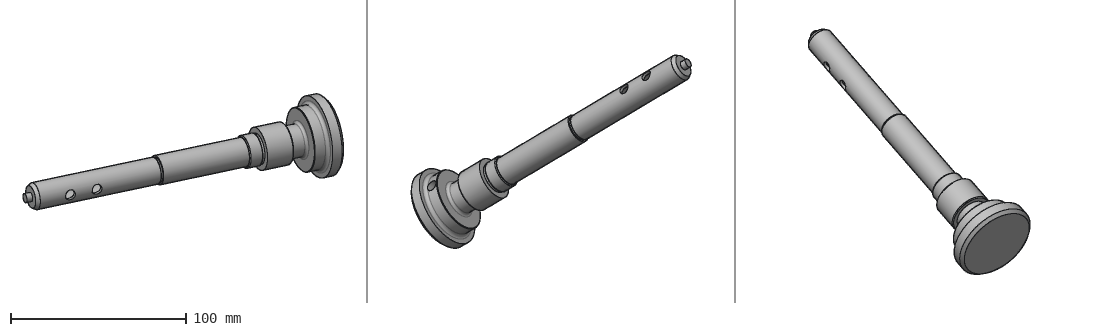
import cadquery as cq
import math

length = 191.5

flange_radius = 48.0 / 2
flange_end = 7.9
flange_chamfer = 2.0
hub_radius = 19.0
hub_end = 16.9
hub_fillet = 2.1
hub_chamfer = 0.4

neck_radius = 19.3 / 2
neck_fillet = 1.7
collar_radius = 12.6
collar_start = 26.8
collar_end = 43.7
collar_chamfer = 0.5

groove_radius = 9.2
groove_end = 45.2
shoulder_end = 53.2
shoulder_chamfer = 0.5

shaft_radius = 8.6
shaft_end = 107.6
rod_radius = 15.9 / 2
rod_relief_radius = 7.7
rod_relief_end = 108.8
rod_end = 187.9
rod_chamfer_length = 2.3
rod_chamfer_depth = 1.3
pin_radius = 2.7

bore_radius = 6.1
bore_start = shaft_end
bore_end = rod_end - rod_chamfer_length

rod_hole_radius = 3.0
rod_hole_stations = (149.5, 166.5)
knob_hole_radius = 3.3
knob_hole_station = 12.8
knob_hole_floor = neck_radius


def y_at(station):
    """Y coordinate of a distance measured from the knob's rear face."""
    return length / 2 - station


def point(radius, station):
    return (radius, y_at(station))


def concave_fillet(profile, wall_station, body_radius, fillet):
    """Add a fillet from a flat face onto the smaller cylinder in front of it."""
    offset = fillet * (1 - math.sqrt(0.5))
    return profile.lineTo(*point(body_radius + fillet, wall_station)).threePointArc(
        point(body_radius + offset, wall_station + offset),
        point(body_radius, wall_station + fillet),
    )


def turned_body():
    profile = (
        cq.Workplane("XY")
        .moveTo(*point(0, 0))
        .lineTo(*point(flange_radius - flange_chamfer, 0))
        .lineTo(*point(flange_radius, flange_chamfer))
        .lineTo(*point(flange_radius, flange_end))
    )
    profile = concave_fillet(profile, flange_end, hub_radius, hub_fillet)
    profile = (
        profile.lineTo(*point(hub_radius, hub_end - hub_chamfer))
        .lineTo(*point(hub_radius - hub_chamfer, hub_end))
    )
    profile = concave_fillet(profile, hub_end, neck_radius, neck_fillet)
    profile = (
        profile.lineTo(*point(neck_radius, collar_start))
        .lineTo(*point(collar_radius - collar_chamfer, collar_start))
        .lineTo(*point(collar_radius, collar_start + collar_chamfer))
        .lineTo(*point(collar_radius, collar_end))
        .lineTo(*point(groove_radius, collar_end))
        .lineTo(*point(groove_radius, groove_end))
        .lineTo(*point(neck_radius, groove_end))
        .lineTo(*point(neck_radius, shoulder_end - shoulder_chamfer))
        .lineTo(*point(neck_radius - shoulder_chamfer, shoulder_end))
        .lineTo(*point(shaft_radius, shoulder_end))
        .lineTo(*point(shaft_radius, shaft_end))
        .lineTo(*point(rod_relief_radius, shaft_end))
        .lineTo(*point(rod_relief_radius, rod_relief_end))
        .lineTo(*point(rod_radius, rod_relief_end))
        .lineTo(*point(rod_radius, rod_end - rod_chamfer_length))
        .lineTo(*point(rod_radius - rod_chamfer_depth, rod_end))
        .lineTo(*point(pin_radius, rod_end))
        .lineTo(*point(pin_radius, length))
        .lineTo(*point(0, length))
        .close()
    )
    return profile.revolve(360, (0, 0, 0), (0, 1, 0))


def cross_hole(radius, station, x_start, x_end):
    """Cylinder along X used to cut a hole at the given station."""
    return (
        cq.Workplane("YZ", origin=(x_start, y_at(station), 0))
        .circle(radius)
        .extrude(x_end - x_start)
    )


def rod_bore():
    """Cylinder along Y that hollows the rod."""
    return (
        cq.Workplane("XZ", origin=(0, y_at(bore_start), 0))
        .circle(bore_radius)
        .extrude(bore_end - bore_start)
    )


result = turned_body().cut(rod_bore())
for hole_station in rod_hole_stations:
    result = result.cut(cross_hole(rod_hole_radius, hole_station, -flange_radius, flange_radius))
result = result.cut(cross_hole(knob_hole_radius, knob_hole_station, -flange_radius, -knob_hole_floor))